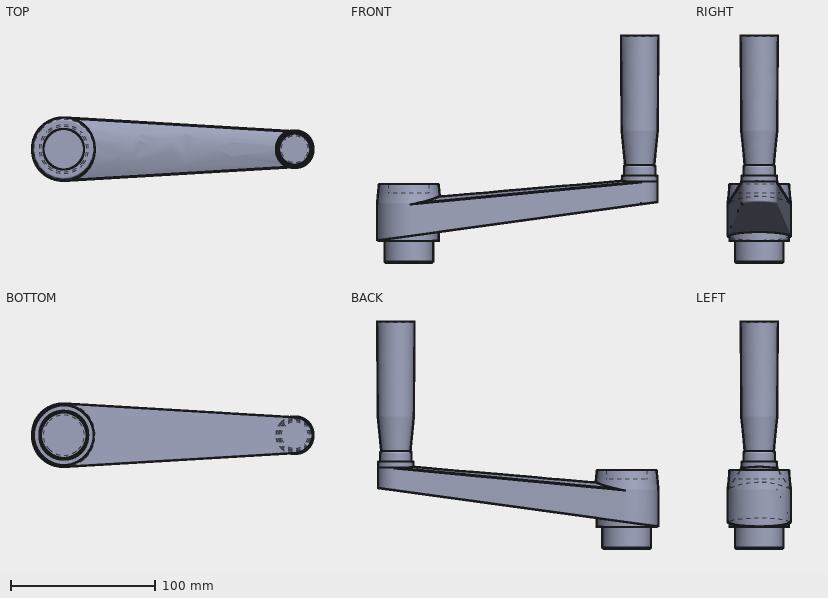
import cadquery as cq
import math

crank_length = 160.0

hub_radius = 22.0
hub_top_diameter = 41.5
hub_shoulder_height = 41.2
hub_height = 54.8
hub_edge_fillet = 1.2
recess_diameter = 28.0
recess_depth = 6.5

foot_diameter = 34.0
foot_height = 15.2
foot_chamfer = 1.2
foot_collar_diameter = hub_top_diameter

end_radius = 12.5
end_shoulder_height = 56.4
underside_height_at_hub = 18.5
underside_slope = 0.137
underside_fillet = 1.0
crown_at_hub = 3.3
crown_at_end = 1.8
edge_bevel = 0.5

seat_diameter = 24.8
seat_height = 60.5
seat_fillet = 0.8

neck_diameter = 22.0
neck_height = 7.5
neck_fillet = 1.8
grip_waist_diameter = 20.5
grip_shoulder_diameter = 25.2
grip_shoulder_height = 91.7
grip_top_diameter = 26.1
grip_top_height = 157.7
grip_top_fillet = 0.4
cap_groove_outer_diameter = 22.8
cap_groove_inner_diameter = 21.7
cap_groove_depth = 0.5

tangent_sine = (hub_radius - end_radius) / crank_length
tangent_cosine = math.sqrt(1 - tangent_sine**2)


def cylinder(x, radius, bottom, top):
    return cq.Workplane("XY", origin=(x, 0, bottom)).circle(radius).extrude(top - bottom)


def web_section(x, half_width, edge_height, crown):
    """Closed upright outline with bevelled upper corners and an arched top."""
    top_half_width = half_width - edge_bevel
    bevel_start = edge_height - edge_bevel
    outline = (
        cq.Workplane("YZ", origin=(x, 0, 0))
        .moveTo(-half_width, 0)
        .lineTo(half_width, 0)
        .lineTo(half_width, bevel_start)
        .lineTo(top_half_width, edge_height)
        .threePointArc((0, edge_height + crown), (-top_half_width, edge_height))
        .lineTo(-half_width, bevel_start)
        .close()
    )
    return outline.val()


def make_web():
    """Tapering arched bar between the tangent lines of the hub and the arm's round end."""
    hub_section = web_section(
        hub_radius * tangent_sine, hub_radius * tangent_cosine, hub_shoulder_height, crown_at_hub
    )
    end_section = web_section(
        crank_length + end_radius * tangent_sine,
        end_radius * tangent_cosine,
        end_shoulder_height,
        crown_at_end,
    )
    return cq.Workplane(cq.Solid.makeLoft([hub_section, end_section], True))


def make_arm_blank():
    """Round ends and web, trimmed by the sloping underside with its rounded rim."""
    blank = (
        cylinder(0, hub_radius, 0, hub_shoulder_height)
        .union(cylinder(crank_length, end_radius, 0, end_shoulder_height))
        .union(make_web())
    )
    underside_normal = cq.Vector(-underside_slope, 0, 1)
    reach = 2 * crank_length
    underside = cq.Plane(origin=(0, 0, underside_height_at_hub), xDir=(0, 1, 0), normal=underside_normal)
    below = cq.Workplane(underside).rect(reach, 2 * reach).extrude(-reach)
    return blank.cut(below).faces("<Z").edges().fillet(underside_fillet)


def make_hub_top():
    """Tapered upper hub with a rounded rim."""
    top_radius = hub_top_diameter / 2
    return (
        cq.Workplane("XZ")
        .moveTo(0, hub_shoulder_height)
        .lineTo(hub_radius, hub_shoulder_height)
        .lineTo(top_radius, hub_height)
        .lineTo(0, hub_height)
        .close()
        .revolve(360, (0, 0, 0), (0, 1, 0))
        .faces(">Z")
        .edges()
        .fillet(hub_edge_fillet)
    )


def make_crank():
    """Arm with its hub, foot, grip seat and the blind recess in the hub top."""
    foot = cylinder(0, foot_diameter / 2, 0, foot_height).faces("<Z").chamfer(foot_chamfer)
    foot_collar = cylinder(0, foot_collar_diameter / 2, foot_height, hub_shoulder_height)
    seat = (
        cylinder(crank_length, seat_diameter / 2, end_shoulder_height, seat_height)
        .faces(">Z")
        .edges()
        .fillet(seat_fillet)
    )
    recess = cylinder(0, recess_diameter / 2, hub_height - recess_depth, hub_height)
    return (
        make_arm_blank().union(make_hub_top()).union(foot_collar).union(foot).union(seat).cut(recess)
    )


def make_grip():
    """Neck with a rounded shoulder, flared shaft and a ring groove around the end cap."""
    neck_top = seat_height + neck_height
    neck = (
        cylinder(crank_length, neck_diameter / 2, seat_height, neck_top)
        .faces(">Z")
        .edges()
        .fillet(neck_fillet)
    )
    shaft = (
        cq.Workplane("XZ", origin=(crank_length, 0, 0))
        .moveTo(0, neck_top)
        .lineTo(grip_waist_diameter / 2, neck_top)
        .lineTo(grip_shoulder_diameter / 2, grip_shoulder_height)
        .lineTo(grip_top_diameter / 2, grip_top_height)
        .lineTo(0, grip_top_height)
        .close()
        .revolve(360, (0, 0, 0), (0, 1, 0))
        .faces(">Z")
        .edges()
        .fillet(grip_top_fillet)
    )
    cap_groove = (
        cq.Workplane("XY", origin=(crank_length, 0, grip_top_height))
        .circle(cap_groove_outer_diameter / 2)
        .circle(cap_groove_inner_diameter / 2)
        .extrude(-cap_groove_depth)
    )
    return neck.union(shaft).cut(cap_groove)


crank = make_crank()
grip = make_grip()
result = cq.Compound.makeCompound([crank.val(), grip.val()])